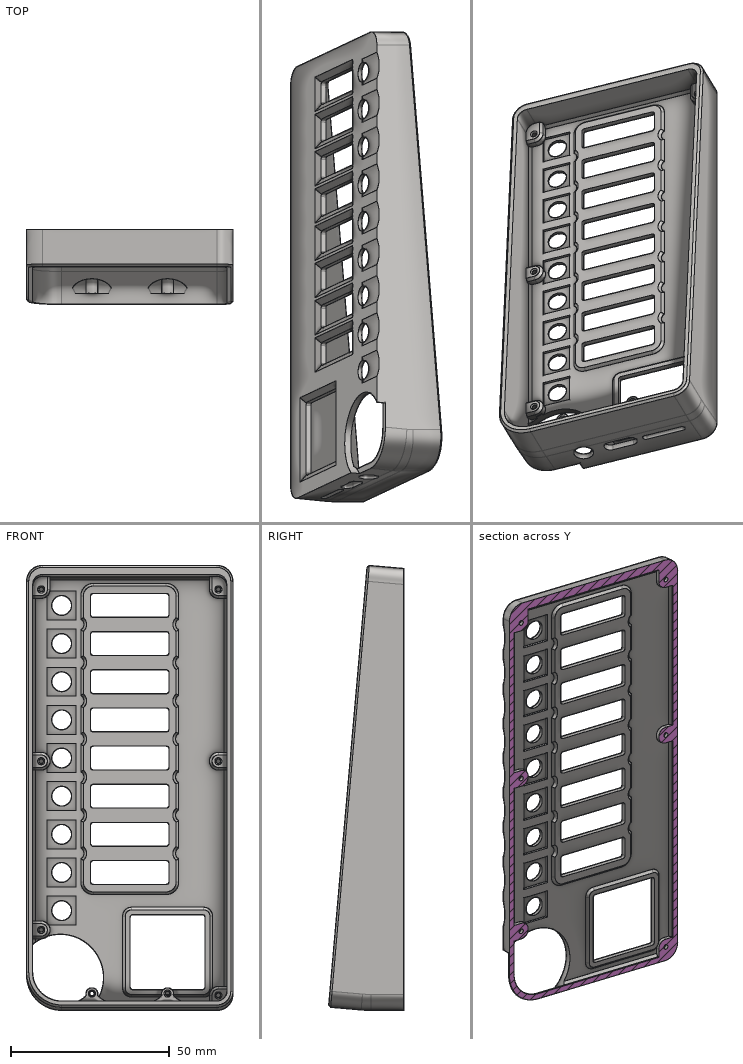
import cadquery as cq
import math


width = 65.0
height = 140.0
depth = 23.7
tilt = 5.0
wall = 2.0
top_wall = 3.0
panel = 2.1
corner_radius = 5.0
large_corner_radius = 11.0
rim_chamfer = 0.7
root_chamfer = 0.8
floor_bend_start = 10.4
floor_bend_end = 13.5

row_count = 8
button_count = row_count + 1
row_pitch = 84.0 / 7
first_row_z = 127.4
button_x = -21.4
button_hole_radius = 3.1
button_pocket_size = 9.1
button_pocket_depth = 0.8
finger_groove_width = 8.4
finger_groove_depth = 0.8

display_width = 24.6
display_height = 7.4
window_radius = 0.8
window_lip = 1.1
border_height = 0.8
border_slope = 0.99 * border_height
display_border_width = 30.8
display_border_end = 3.2
display_border_radius = 3.9
border_notch_radius = 2.0
border_notch_depth = 1.0

square_size = 23.5
square_x = 11.9
square_z = 18.3
square_border_size = 28.3
square_border_radius = 2.8

round_radius = 13.6
round_x = -21.8
round_z = 10.4
round_depth = 3.0

boss_radius = 2.8
boss_chamfer = 0.8
boss_height = 2.8
side_boss_x = 27.9
top_boss_z = 132.4
middle_boss_z = 78.4
lower_boss_z = 25.3
bottom_boss_z = 4.8
screw_radius = 0.7
screw_countersink = 0.4

floor_boss_x = 11.9
floor_boss_z = 5.3
floor_boss_radius = 1.8
floor_boss_face = 20.2
floor_boss_length = 4.6
foot_half_width = 6.6
foot_edge_z = 2.5
flank_top_z = 4.8
flank_middle_x = 3.8
flank_middle_z = 3.2

floor_opening_depth = 7.5
floor_hole_x = -9.8
floor_hole_radius = 3.1
floor_slots = [
    (2.8, 10.9, 3.9),
    (17.5, 14.3, 2.0),
]

tilt_sin = math.sin(math.radians(tilt))
tilt_cos = math.cos(math.radians(tilt))
bend_radius = (floor_bend_end - floor_bend_start) / tilt_sin
inner_face = -panel
row_positions = [first_row_z - row_pitch * i for i in range(button_count)]


def front_plane(y):
    """Plane parallel to the panel whose normal points into the housing (-Y)."""
    return cq.Workplane("XZ", origin=(0, y, 0))


def rounded_block(x, z, size_x, size_z, radius, y, length):
    block = front_plane(y).center(x, z).rect(size_x, size_z).extrude(length)
    return block.edges("|Y").fillet(radius)


def housing_prism(half_width, front_y, floor_inset, roof_inset, reach):
    """Unrounded housing envelope, moved inward by the insets and `reach` past the rim plane."""

    def bend_point(angle_degrees):
        angle = math.radians(angle_degrees)
        radius = bend_radius - floor_inset
        return (-floor_bend_start - radius * math.sin(angle), bend_radius - radius * math.cos(angle))

    corner_allowance = rim_chamfer * tilt_sin
    rim_y = -depth - corner_allowance
    rim_z = bend_radius * (1 - tilt_cos) + (-rim_y - floor_bend_end) * tilt_sin / tilt_cos
    rim_length = (height + corner_allowance - rim_z) / tilt_cos

    def rim_point(along):
        return (
            rim_y + along * tilt_sin - reach * tilt_cos,
            rim_z + along * tilt_cos + reach * tilt_sin,
        )

    roof_y, roof_z = rim_point(rim_length - roof_inset)
    roof_front_z = roof_z - (front_y - roof_y) * tilt_sin / tilt_cos
    return (
        cq.Workplane("YZ", origin=(-half_width, 0, 0))
        .moveTo(front_y, floor_inset)
        .lineTo(-floor_bend_start, floor_inset)
        .threePointArc(bend_point(tilt / 2), bend_point(tilt))
        .lineTo(*rim_point(floor_inset))
        .lineTo(roof_y, roof_z)
        .lineTo(front_y, roof_front_z)
        .close()
        .extrude(2 * half_width)
    )


def round_long_edges(prism, inset):
    """Round the edges that run from the panel to the rim; the one at low X and Z is larger."""
    reach = 2 * height
    floor_edges = cq.selectors.BoxSelector((-reach, -reach, -reach), (reach, reach, height / 4))
    roof_edges = cq.selectors.BoxSelector((-reach, -reach, height * 3 / 4), (reach, reach, reach))
    prism = prism.faces("<X").edges(floor_edges).fillet(large_corner_radius - inset)
    prism = prism.faces(">X").edges(floor_edges).fillet(corner_radius - inset)
    for side in ("<X", ">X"):
        prism = prism.faces(side).edges(roof_edges).fillet(corner_radius - inset)
    return prism


def make_cavity():
    cavity = housing_prism(width / 2 - wall, inner_face, wall, top_wall, wall)
    cavity = round_long_edges(cavity, wall)
    return cavity.faces(">Y").edges().chamfer(root_chamfer)


def make_envelope():
    return round_long_edges(housing_prism(width / 2, 0, 0, 0, 0), 0)


def slope_border(border):
    return border.faces("<Y").edges().chamfer(border_slope)


def make_display_border():
    """Raised border around all display windows, notched between the rows."""
    top = first_row_z + display_height / 2 + display_border_end
    bottom = row_positions[row_count - 1] - display_height / 2 - display_border_end
    border = rounded_block(
        0,
        (top + bottom) / 2,
        display_border_width,
        top - bottom,
        display_border_radius,
        inner_face,
        border_height,
    )
    notch_x = display_border_width / 2 + border_notch_radius - border_notch_depth
    notch_points = [
        (side * notch_x, z - row_pitch / 2)
        for z in row_positions[: row_count - 1]
        for side in (-1, 1)
    ]
    notches = (
        front_plane(inner_face)
        .pushPoints(notch_points)
        .circle(border_notch_radius)
        .extrude(border_height)
    )
    return slope_border(border.cut(notches))


def make_square_border():
    border = rounded_block(
        square_x,
        square_z,
        square_border_size,
        square_border_size,
        square_border_radius,
        inner_face,
        border_height,
    )
    return slope_border(border)


def window(x, z, size_x, size_z):
    """Straight lip at the inside, then a 45 degree bevel that widens toward the outside."""
    thickness = panel + border_height
    bevel = thickness - window_lip
    lip = rounded_block(x, z, size_x, size_z, window_radius, 0, thickness)
    flare = (
        front_plane(0)
        .center(x, z)
        .rect(size_x + 2 * bevel, size_z + 2 * bevel)
        .workplane(offset=bevel)
        .rect(size_x - 2 * window_radius, size_z - 2 * window_radius)
        .loft()
    )
    return lip.union(flare)


def button_cut(z):
    """Button hole, square pocket on the inside and finger groove on the outside."""
    hole = front_plane(0).center(button_x, z).circle(button_hole_radius).extrude(panel)
    pocket = (
        front_plane(inner_face)
        .center(button_x, z)
        .rect(button_pocket_size, button_pocket_size)
        .extrude(-button_pocket_depth)
    )
    half = finger_groove_width / 2
    groove = (
        cq.Workplane("YZ", origin=(-width / 2, 0, z))
        .moveTo(0, -half)
        .threePointArc((-finger_groove_depth, 0), (0, half))
        .close()
        .extrude(width / 2 + button_x)
    )
    return hole.union(pocket).union(groove)


def panel_boss(x, z, corner):
    """Boss joined to the side wall, and to the floor (corner -1) or the roof (corner 1)."""
    side = math.copysign(1, x)
    wall_x = side * width / 2
    arm_length = abs(wall_x - x)
    boss = front_plane(inner_face).center(x, z).circle(boss_radius).extrude(boss_height)
    arm = (
        front_plane(inner_face)
        .center((x + wall_x) / 2, z)
        .rect(arm_length, 2 * boss_radius)
        .extrude(boss_height)
    )
    boss = boss.union(arm)
    if corner:
        riser = (
            front_plane(inner_face)
            .center((x - side * boss_radius + wall_x) / 2, z + corner * corner_radius / 2)
            .rect(arm_length + boss_radius, corner_radius)
            .extrude(boss_height)
        )
        boss = boss.union(riser)
    return boss.faces("<Y").edges().chamfer(boss_chamfer)


def screw_hole(x, z, y, length):
    """Hole running toward the panel from a boss face at Y, with a countersunk mouth."""
    hole = front_plane(y).center(x, z).circle(screw_radius).extrude(-length)
    mouth = (
        front_plane(y)
        .center(x, z)
        .circle(screw_radius + screw_countersink)
        .workplane(offset=-screw_countersink)
        .circle(screw_radius)
        .loft()
    )
    return hole.union(mouth)


def floor_boss(x):
    """Boss standing on the floor, with flanks that curve out into a half-round foot."""
    face_y = -floor_boss_face
    top_z = floor_boss_z + floor_boss_radius
    profile = (
        front_plane(face_y)
        .moveTo(x - foot_half_width, 0)
        .lineTo(x - foot_half_width, foot_edge_z)
        .threePointArc((x - flank_middle_x, flank_middle_z), (x - floor_boss_radius, flank_top_z))
        .threePointArc((x, top_z), (x + floor_boss_radius, flank_top_z))
        .threePointArc((x + flank_middle_x, flank_middle_z), (x + foot_half_width, foot_edge_z))
        .lineTo(x + foot_half_width, 0)
        .close()
        .extrude(-floor_boss_length)
    )
    footprint = (
        cq.Workplane("XY", origin=(x, face_y, 0))
        .ellipse(foot_half_width, floor_boss_length)
        .extrude(2 * floor_boss_z)
    )
    return profile.intersect(footprint)


def floor_openings():
    floor_plane = cq.Workplane("XY", origin=(0, -floor_opening_depth, 0))
    openings = floor_plane.center(floor_hole_x, 0).circle(floor_hole_radius).extrude(2 * wall)
    for x, length, slot_width in floor_slots:
        slot_plane = cq.Workplane("XY", origin=(x, -floor_opening_depth, 0))
        openings = openings.union(slot_plane.slot2D(length, slot_width).extrude(2 * wall))
    return openings


panel_bosses = [
    (-side_boss_x, top_boss_z, 1),
    (side_boss_x, top_boss_z, 1),
    (-side_boss_x, middle_boss_z, 0),
    (side_boss_x, middle_boss_z, 0),
    (-side_boss_x, lower_boss_z, 0),
    (side_boss_x, bottom_boss_z, -1),
]
floor_bosses = (-floor_boss_x, floor_boss_x)

envelope = make_envelope()
housing = envelope.faces("<Y").edges().chamfer(rim_chamfer)
inside = make_display_border().union(make_square_border())
for x, z, corner in panel_bosses:
    inside = inside.union(panel_boss(x, z, corner))
for x in floor_bosses:
    inside = inside.union(floor_boss(x))
result = housing.cut(make_cavity()).union(inside.intersect(envelope))

for z in row_positions:
    result = result.cut(button_cut(z))
for z in row_positions[:row_count]:
    result = result.cut(window(0, z, display_width, display_height))
result = result.cut(window(square_x, square_z, square_size, square_size))
result = result.cut(front_plane(0).center(round_x, round_z).circle(round_radius).extrude(round_depth))
result = result.cut(floor_openings())

for x, z, _ in panel_bosses:
    result = result.cut(screw_hole(x, z, inner_face - boss_height, boss_height))
for x in floor_bosses:
    result = result.cut(screw_hole(x, floor_boss_z, -floor_boss_face, floor_boss_length))